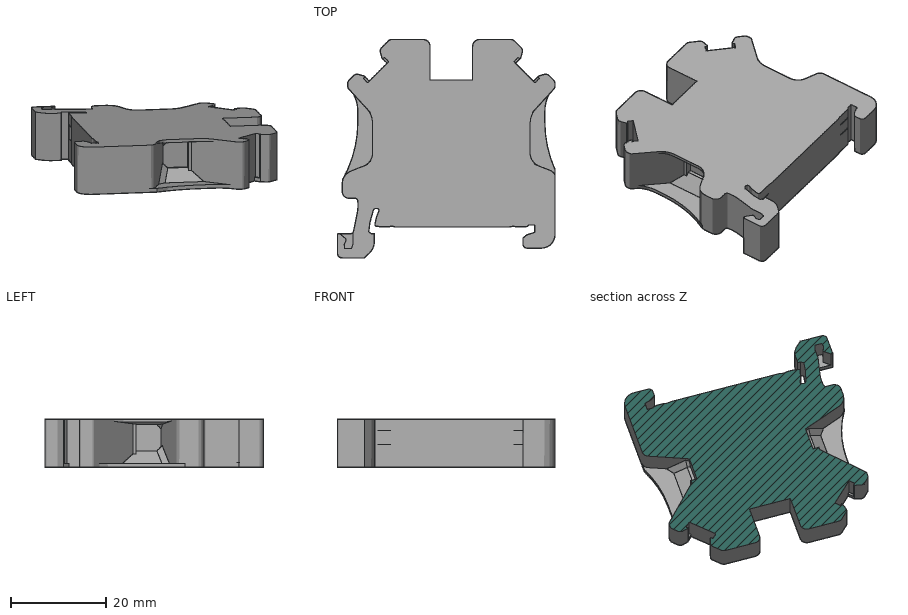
import cadquery as cq
import math


thickness = 10.15
top_y = 39.5
right_x = 21.83
lobe_x = -22.98

slot_half_width = 4.45
slot_floor_y = 31.0
slot_corner_radius = 1.5

notch_center = (15.4, 32.6)
notch_depth = 3.15
notch_half_floor = 3.13
notch_half_mouth = 2.65
notch_half_opening = 3.55
lip_inner_height = 1.25
lip_outer_height = 1.53
notch_web_thickness = 0.82
lip_radius = 1.0
wing_top_radius = 1.2
wing_tip_radii = (1.2, 0.9)

plate_edge_x = 16.58
plate_upper_radius = 4.5
plate_lower_radius = 2.9
upper_wall_slope = 1.09
upper_wall_y = 23.6
lower_wall_slope = 0.40
lower_wall_y = 13.6
funnel_end_x = 12.85
cutter_size = 40.0
mouth_x = 24.0
flange_thickness = 0.82
ramp_end_x = 13.55
ledge_z = 3.45
step_x = 14.15
step_y = 20.3
roof_slope = 0.142
roof_start_x = 21.25
facet_edge = 0.85
facet_normal = (3.25, 2.30, 2.33)

flange_x = 19.7
flange_straight_y = (22.1, 24.4)
flange_end_y = (10.0, 28.0)
flange_lower_radius = 24.5
flange_upper_radius = 7.6

hook_end_y = -6.5
hook_right_x = -16.17
right_foot_end_y = -4.45
right_foot_tip_x = 15.03
rail_notch_x = 17.5
rail_notch_y = 0.4
lobe_bottom_y = 6.03
gap_top_y = 3.9
hook_top_y = -1.36
hook_left_x = -23.97
arm_outer_x = -20.7
arm_bend = (-19.6, 4.0)
slot_web_thickness = 1.04
slot_rise = 0.7

relief_depth = 0.13
bump_bottom_z = 4.83
bump_top_z = 7.75


def rounded_outline(corners):
    """Closed wire through (x, y, radius) corners, each rounded by a tangent arc."""
    arcs = []
    for i, (x, y, radius) in enumerate(corners):
        corner = cq.Vector(x, y)
        before = cq.Vector(*corners[i - 1][:2]) - corner
        after = cq.Vector(*corners[(i + 1) % len(corners)][:2]) - corner
        to_before = before.normalized()
        to_after = after.normalized()
        half_angle = before.getAngle(after) / 2
        setback = radius / math.tan(half_angle)
        bulge = radius / math.sin(half_angle) - radius
        middle = corner + (to_before + to_after).normalized() * bulge
        arcs.append((corner + to_before * setback, middle, corner + to_after * setback, radius))
    outline = cq.Workplane("XY").moveTo(*arcs[0][2].toTuple()[:2])
    for start, middle, end, radius in arcs[1:] + arcs[:1]:
        outline = outline.lineTo(start.x, start.y)
        if radius > 0:
            outline = outline.threePointArc((middle.x, middle.y), (end.x, end.y))
    return outline.close()


def upper_wall(x):
    """Y of the funnel's upper wall at distance x from the mirror line."""
    return upper_wall_y + upper_wall_slope * (x - plate_edge_x)


def lower_wall(x):
    """Y of the funnel's lower wall at distance x from the mirror line."""
    return lower_wall_y - lower_wall_slope * (x - plate_edge_x)


def notch_point(along, outward):
    """Point on the +X wing, given along the notch floor and out from it."""
    diagonal = math.sqrt(0.5)
    x = notch_center[0] + (along + outward) * diagonal
    y = notch_center[1] + (outward - along) * diagonal
    return (x, y)


def wing_corners():
    """Corners of the +X wing, from the central slot down to the funnel."""
    outer_sum = sum(notch_center) + notch_depth * math.sqrt(2)
    bevel_radius, wall_radius = wing_tip_radii
    return [
        (slot_half_width, slot_floor_y, 0),
        (slot_half_width, top_y, slot_corner_radius),
        (outer_sum - top_y, top_y, wing_top_radius),
        (*notch_point(-notch_half_opening, notch_depth), lip_radius),
        (*notch_point(-notch_half_mouth, lip_outer_height), 0),
        (*notch_point(-notch_half_mouth, 0), 0),
        (*notch_point(notch_half_mouth, 0), 0),
        (*notch_point(notch_half_mouth, lip_outer_height), 0),
        (*notch_point(notch_half_opening, notch_depth), lip_radius),
        (right_x, outer_sum - right_x, bevel_radius),
        (right_x, upper_wall(right_x), wall_radius),
        (plate_edge_x, upper_wall_y, plate_upper_radius),
        (plate_edge_x, lower_wall_y, plate_lower_radius),
    ]


def housing():
    """Full-height outline of the housing with its foot, spring arm and hook."""
    right_wing = wing_corners()
    left_wing = [(-x, y, radius) for x, y, radius in reversed(right_wing)]
    right_foot = [
        (right_x, lower_wall(right_x), 1.45),
        (right_x, right_foot_end_y, 2.9),
        (right_foot_tip_x, right_foot_end_y, 0.9),
        (right_foot_tip_x, -2.3, 0.2),
        (15.9, -1.6, 0.6),
        (rail_notch_x, -1.1, 0),
        (rail_notch_x, rail_notch_y, 0),
        (16.3, rail_notch_y, 0),
        (16.0, relief_depth, 0),
        (12.83, relief_depth, 0),
        (12.2, 0, 0),
    ]
    spring_gap = [
        (-11.8, 0, 0),
        (-12.26, relief_depth, 0),
        (-16.2, relief_depth, 0.4),
        (-15.75, 2.2, 1.0),
        (-15.05, gap_top_y, 0.4),
        (-16.3, gap_top_y, 0.6),
        (-17.1, 1.0, 4.0),
        (-17.35, -1.0, 0.1),
        (-16.8, hook_top_y, 0),
    ]
    spring_arm = [
        (hook_right_x, hook_top_y, 0),
        (hook_right_x, -4.45, 3.4),
        (-18.3, hook_end_y, 0),
        (hook_left_x, hook_end_y, 1.0),
        (hook_left_x, hook_top_y, 0.2),
        (arm_outer_x, hook_top_y, 0.6),
        (*arm_bend, 8.5),
        (-19.75, lobe_bottom_y, 0.5),
        (lobe_x, lobe_bottom_y, 1.5),
        (lobe_x, lower_wall(-lobe_x), 2.9),
    ]
    corners = right_wing + right_foot + spring_gap + spring_arm + left_wing
    return rounded_outline(corners).extrude(thickness)


def flange():
    """Thin lip closing the bottom of the -X funnel, with a concave outer edge."""
    low_end, high_end = flange_end_y
    straight_low, straight_high = flange_straight_y
    inner_x = -plate_edge_x

    def edge_point(radius, from_y, y):
        drop = y - from_y
        return (-flange_x - radius + math.sqrt(radius**2 - drop**2), y)

    return (
        cq.Workplane("XY")
        .moveTo(inner_x, low_end)
        .lineTo(*edge_point(flange_lower_radius, straight_low, low_end))
        .threePointArc(
            edge_point(flange_lower_radius, straight_low, (low_end + straight_low) / 2),
            (-flange_x, straight_low),
        )
        .lineTo(-flange_x, straight_high)
        .threePointArc(
            edge_point(flange_upper_radius, straight_high, (straight_high + high_end) / 2),
            edge_point(flange_upper_radius, straight_high, high_end),
        )
        .lineTo(inner_x, upper_wall(-inner_x))
        .close()
        .extrude(flange_thickness)
    )


def half_space(point, normal):
    """Slab behind a plane, on the side opposite its normal, larger than the funnel."""
    plane = cq.Plane(point, normal=normal)
    return cq.Workplane(plane).rect(cutter_size, cutter_size).extrude(-cutter_size / 2)


def funnel():
    """Tapered wire entry on the -X side, between the flange and the top plate."""
    plan = (
        cq.Workplane("XY")
        .polyline([
            (-mouth_x, upper_wall(mouth_x)),
            (-step_x, upper_wall(step_x)),
            (-step_x, step_y),
            (-funnel_end_x, step_y),
            (-funnel_end_x, lower_wall(funnel_end_x)),
            (-mouth_x, lower_wall(mouth_x)),
        ])
        .close()
        .extrude(thickness)
    )
    roof_end_z = thickness - roof_slope * (roof_start_x - funnel_end_x)
    ramp_start_x = ramp_end_x + ledge_z - flange_thickness
    side = (
        cq.Workplane("XZ")
        .polyline([
            (-mouth_x, flange_thickness),
            (-ramp_start_x, flange_thickness),
            (-ramp_end_x, ledge_z),
            (-funnel_end_x, ledge_z),
            (-funnel_end_x, roof_end_z),
            (-roof_start_x, thickness),
            (-mouth_x, thickness),
        ])
        .close()
        .extrude(-top_y)
    )
    facet_y = lower_wall(funnel_end_x) + facet_edge
    normal_x, normal_y, normal_z = facet_normal
    below_ledge_facet = half_space((-ramp_end_x, facet_y, ledge_z), (0, 1, 1))
    below_ramp_facet = half_space((-ramp_end_x, facet_y, ledge_z), (-normal_x, normal_y, normal_z))
    above_roof_facet = half_space((-funnel_end_x, facet_y, roof_end_z), (-normal_x, normal_y, -normal_z))
    cavity = plan.intersect(side)
    cavity = cavity.cut(below_ledge_facet.intersect(below_ramp_facet))
    return cavity.cut(above_roof_facet)


def notch_undercuts():
    """Slots under both lips of the +X notch, stopping above the bottom web."""
    return (
        cq.Workplane("XY")
        .workplane(offset=notch_web_thickness)
        .polyline([
            notch_point(-notch_half_floor, 0),
            notch_point(notch_half_floor, 0),
            notch_point(notch_half_floor, lip_inner_height),
            notch_point(-notch_half_floor, lip_inner_height),
        ])
        .close()
        .extrude(thickness)
    )


def hook_slot():
    """Screwdriver slot behind the hook, stopping above the bottom web."""
    bend_x, bend_y = arm_bend
    slot_top_y = hook_top_y + slot_rise
    arm_lean = (bend_x - arm_outer_x) / (bend_y - hook_top_y)
    arm_x = arm_outer_x + arm_lean * (slot_top_y - hook_top_y)
    corners = [
        (-23.5, hook_top_y, 0),
        (-22.05, -2.6, 0.3),
        (-22.55, -3.7, 0.3),
        (-22.45, -4.5, 0.15),
        (-21.0, -4.5, 0.15),
        (-20.7, -3.6, 0.3),
        (arm_outer_x, hook_top_y, 0),
        (arm_x, slot_top_y, 0),
        (-21.5, slot_top_y, 0),
    ]
    return rounded_outline(corners).extrude(thickness).translate((0, 0, slot_web_thickness))


def rail_bump(base_start, flat_start, flat_end, base_end):
    """Low ramped pad standing in the relief of the rail face."""
    return (
        cq.Workplane("XY")
        .workplane(offset=bump_bottom_z)
        .polyline([
            (base_start, 2 * relief_depth),
            (base_start, relief_depth),
            (flat_start, 0),
            (flat_end, 0),
            (base_end, relief_depth),
            (base_end, 2 * relief_depth),
        ])
        .close()
        .extrude(bump_top_z - bump_bottom_z)
    )


left_flange = flange()
left_funnel = funnel()
right_undercuts = notch_undercuts()

right_flange = left_flange.mirror("YZ").intersect(
    cq.Workplane("XY").box(right_x, top_y, thickness, centered=False)
)

result = housing().union(left_flange).union(right_flange)
result = result.cut(left_funnel).cut(left_funnel.mirror("YZ"))
result = result.cut(right_undercuts).cut(right_undercuts.mirror("YZ"))
result = result.cut(hook_slot())
result = result.union(rail_bump(-15.4, -14.75, -13.33, -12.8))
result = result.union(rail_bump(13.2, 13.83, 15.4, 16.0))